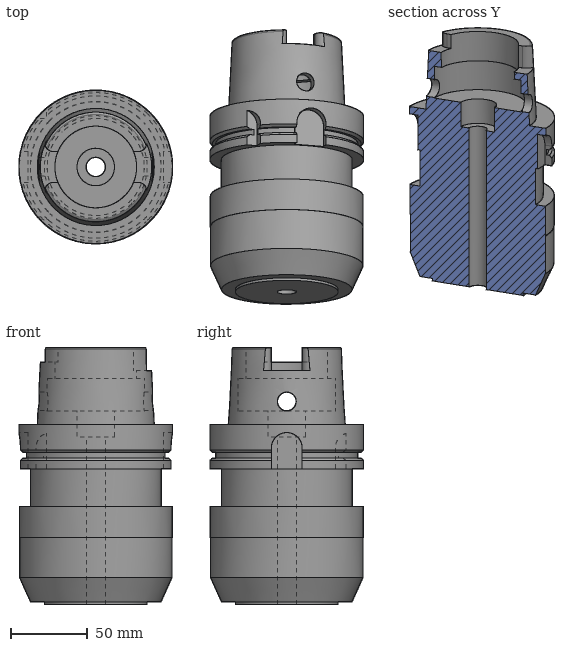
import cadquery as cq

total_height = 167.0
shank_length = 50.0
flange_height = 28.9
flange_top = total_height - shank_length
flange_bottom = flange_top - flange_height
collar_top = 1.7
nose_top = 17.5
nut_top = 43.5
body_top = 63.8

flange_radius = 100.0 / 2
body_radius = 49.8
nut_radius = 49.6
nose_radius = 42.5
collar_radius = 33.4
neck_radius = 42.6
shank_base_radius = 38.0
shank_taper = 1 / 20
shank_top_radius = shank_base_radius - shank_taper * shank_length
rim_round = 1.5

groove_radius = 46.3
groove_bottom = 95.2
groove_top = 98.9
groove_chamfer = 1.7

mouth_radius = 26.5
mouth_depth = 20.0
chamber_radius = 31.5
bore_depth = 41.4
counterbore_radius = 12.2
counterbore_depth = 16.7
through_radius = 6.2

cross_hole_radius = 6.0
cross_hole_height = 132.0

drive_slot_half_width = 10.0
drive_slot_depths = {-1: 9.5, 1: 15.0}
flare_radius = 5.5
flare_start = 27.5

key_slot_half_width = 10.0
key_slot_top = flange_top - 5.3
key_floor = 44.0
notch_floor = 31.9
notch_offset = 41.5

cutter_reach = 66.8


def make_body():
    outer_edge = flange_radius - groove_chamfer
    profile = (
        cq.Workplane("XZ")
        .lineTo(collar_radius, 0)
        .lineTo(collar_radius, collar_top)
        .lineTo(nose_radius, collar_top)
        .lineTo(nut_radius, nose_top)
        .lineTo(nut_radius, nut_top)
        .lineTo(body_radius, nut_top)
        .lineTo(body_radius, body_top)
        .lineTo(neck_radius, body_top)
        .lineTo(neck_radius, flange_bottom)
        .lineTo(flange_radius, flange_bottom)
        .lineTo(flange_radius, groove_bottom - groove_chamfer)
        .lineTo(outer_edge, groove_bottom)
        .lineTo(groove_radius, groove_bottom)
        .lineTo(groove_radius, groove_top)
        .lineTo(outer_edge, groove_top)
        .lineTo(flange_radius, groove_top + groove_chamfer)
        .lineTo(flange_radius, flange_top)
        .lineTo(shank_base_radius, flange_top)
        .lineTo(shank_top_radius, total_height)
        .lineTo(0, total_height)
        .close()
    )
    body = profile.revolve(360, (0, 0, 0), (0, 1, 0))
    return body.faces(">Z").edges().fillet(rim_round)


def bore_step(radius, bottom, top):
    return cq.Workplane("XY").workplane(offset=bottom).circle(radius).extrude(top - bottom)


def make_bore():
    floor = total_height - bore_depth
    ledge = total_height - mouth_depth
    bore = bore_step(mouth_radius, ledge, total_height)
    bore = bore.union(bore_step(chamber_radius, floor, ledge))
    bore = bore.union(bore_step(counterbore_radius, floor - counterbore_depth, floor))
    return bore.union(bore_step(through_radius, 0, floor))


def make_cross_hole():
    plane = cq.Workplane("YZ").center(0, cross_hole_height)
    return plane.circle(cross_hole_radius).extrude(cutter_reach, both=True)


def make_drive_slot(side):
    """Slot in the rim whose walls curve outward at the outer surface."""
    half = drive_slot_half_width
    flare_end = flare_start + flare_radius
    wide = half + flare_radius
    depth = drive_slot_depths[side]
    return (
        cq.Workplane("XY")
        .workplane(offset=total_height - depth)
        .moveTo(0, -half)
        .lineTo(side * flare_start, -half)
        .radiusArc((side * flare_end, -wide), side * flare_radius)
        .lineTo(side * cutter_reach, -wide)
        .lineTo(side * cutter_reach, wide)
        .lineTo(side * flare_end, wide)
        .radiusArc((side * flare_start, half), side * flare_radius)
        .lineTo(0, half)
        .close()
        .extrude(depth)
    )


def make_key_slot(side, floor, offset):
    """Round-topped slot open at the flange underside, with a flat floor facing along X."""
    half = key_slot_half_width
    spring = key_slot_top - half
    return (
        cq.Workplane("YZ")
        .workplane(offset=side * floor)
        .moveTo(offset - half, flange_bottom)
        .lineTo(offset - half, spring)
        .threePointArc((offset, key_slot_top), (offset + half, spring))
        .lineTo(offset + half, flange_bottom)
        .close()
        .extrude(side * (cutter_reach - floor))
    )


result = make_body().cut(make_bore()).cut(make_cross_hole())
for side in (-1, 1):
    result = result.cut(make_drive_slot(side))
    result = result.cut(make_key_slot(side, key_floor, 0))
result = result.cut(make_key_slot(-1, notch_floor, notch_offset))